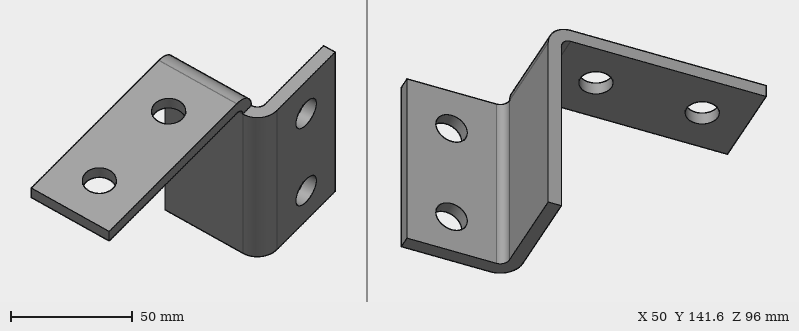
import cadquery as cq

total_width = 50.0
total_length = 141.6
total_height = 96.0

thickness = 6.0
outer_radius = 10.0
inner_radius = outer_radius - thickness
side_reach = 50.0

hole_diameter = 14.0
hole_spacing = 47.6
hole_inset = 20.0

web_width = total_width - outer_radius
web_height = total_height - outer_radius
web_front = total_length - side_reach
web_back = web_front + thickness


def box(x_range, y_range, z_range):
    """Block spanning the given (start, end) ranges along each axis."""
    ranges = (x_range, y_range, z_range)
    sizes = [end - start for start, end in ranges]
    corner = tuple(start for start, _ in ranges)
    return cq.Workplane("XY").box(*sizes, centered=False).translate(corner)


def quarter_bend(plane, center, u_sign, v_sign, length):
    """Quarter ring in the quadrant given by the signs, extruded along the plane normal."""
    quadrant = (
        cq.Workplane(plane)
        .center(center[0] + u_sign * outer_radius / 2, center[1] + v_sign * outer_radius / 2)
        .rect(outer_radius, outer_radius)
        .extrude(length)
    )
    ring = (
        cq.Workplane(plane)
        .center(*center)
        .circle(outer_radius)
        .circle(inner_radius)
        .extrude(length)
    )
    return ring.intersect(quadrant)


def hole_pair(plane, centers, depth):
    """Bolt holes drilled from the plane along its normal."""
    return cq.Workplane(plane).pushPoints(centers).circle(hole_diameter / 2).extrude(depth)


web = box((0, web_width), (web_front, web_back), (0, web_height))

top_bend_y = web_back - outer_radius
top_flange = box((0, web_width), (0, top_bend_y), (total_height - thickness, total_height))
top_bend = quarter_bend("YZ", (top_bend_y, web_height), 1, 1, web_width)

side_bend_y = web_front + outer_radius
side_flange = box(
    (total_width - thickness, total_width), (side_bend_y, total_length), (0, web_height)
)
side_bend = quarter_bend("XY", (web_width, side_bend_y), 1, -1, web_height)

top_centers = [(web_width / 2, hole_inset + i * hole_spacing) for i in range(2)]
side_centers = [
    (total_length - hole_inset, web_height - hole_inset - i * hole_spacing) for i in range(2)
]

result = (
    web.union(top_bend)
    .union(top_flange)
    .union(side_bend)
    .union(side_flange)
    .cut(hole_pair("XY", top_centers, total_height))
    .cut(hole_pair("YZ", side_centers, total_width))
)